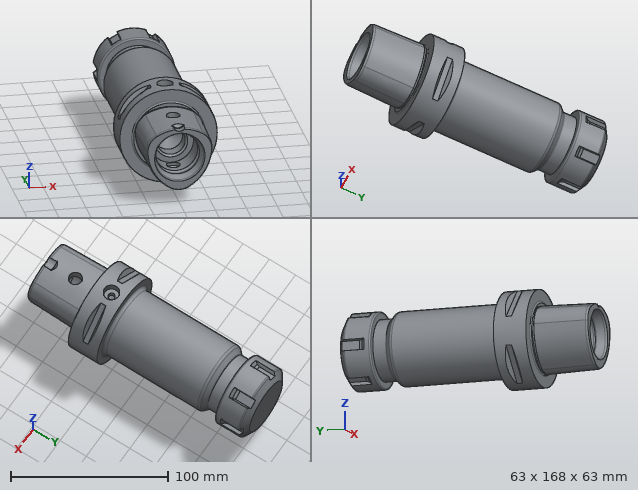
import cadquery as cq
import math


TOTAL_LENGTH = 168

FLANGE_RADIUS = 31.5
FLANGE_LENGTH = 22.0
BARREL_RADIUS = 24.0
BARREL_ROOT_FILLET = 2.4
NECK_RADIUS = 20.0
NECK_LENGTH = 8.9
NECK_ROOT_FILLET = 0.5
SHOULDER_EDGE_FILLET = 2.7

NUT_RADIUS = 25.0
NUT_LENGTH = 22.3
NUT_FACE_RADIUS = 18.8
NUT_BEVEL_LENGTH = 4.0
NUT_BEVEL_FILLET = 1.2
NUT_BACK_FILLET = 1.0
NECK_ENGAGEMENT = 15.1
SLOT_COUNT = 6
SLOT_FLOOR_DISTANCE = 22.3
SLOT_FLOOR_WIDTH = 6.0
SLOT_MOUTH_WIDTH = 7.4
SLOT_END_GAP = 4.2
SLOT_END_SLOPE_LENGTH = 2.0
SLOT_RAMP_LENGTH = 2.0
SLOT_RAMP_RISE = 0.7

SHANK_LENGTH = 38.0
LOBE_CENTRE_DISTANCE = 10.5
LOBE_RADIUS = 13.0
LOBE_ANGLES = (-90, 30, 150)
LOBE_HALF_ANGLE = 30
SHANK_TAPER = math.degrees(math.atan(1 / 40))
UNDERCUT_LENGTH = 1.8
UNDERCUT_DEPTH = 0.2
TIP_BEVEL_LENGTH = 1.5
TIP_BEVEL_DEPTH = 0.5
COLLAR_BASE_RADIUS = 24.2
COLLAR_TOP_RADIUS = 22.7
COLLAR_HEIGHT = 0.7

MOUTH_RADIUS = 16.3
ENTRY_RADIUS = 15.8
ENTRY_CHAMFER_LENGTH = 1.5
BORE_RADIUS = 14.1
ENTRY_CONE_LENGTH = 5.4
GROOVE_RADIUS = 15.6
GROOVE_START_GAP = 0.7
GROOVE_LENGTH = 5.7
GROOVE_FLANK_LENGTH = 2.0
GROOVE_FLANK_RISE = 1.0
GROOVE_ROUND_LENGTH = 2.0
BORE_DEPTH = 27.7
PILOT_MOUTH_RADIUS = 10.5
PILOT_RADIUS = 9.0
PILOT_DEPTH = 10.0
DRILL_HALF_ANGLE = math.radians(59)

RIM_FEATURE_Y = 12.1
PORT_RADIUS = 5.2
PORT_FLOOR_Z = 25.5
PORT_PILOT_RADIUS = 2.4
PORT_PILOT_DEPTH = 3.4
CROSS_HOLE_Y = -15.5
CROSS_HOLE_RADIUS = 4.4
CROSS_HOLE_FLOOR_Z = -16.0
NOTCH_AXIS_Z = 22.2
NOTCH_RADIUS = 4.4
NOTCH_LENGTH = 6.0
NOTCH_END_RADIUS = 4.9
NOTCH_CONE_LENGTH = 3.7
GRIP_COUNT = 4
GRIP_FLOOR_DISTANCE = 27.9
GRIP_FLOOR_WIDTH = 3.7
GRIP_FLANK_ANGLE = math.radians(30)

NECK_SHOULDER_RISE = BARREL_RADIUS - NECK_RADIUS
NUT_FACE_Y = TOTAL_LENGTH - SHANK_LENGTH
NUT_BACK_Y = NUT_FACE_Y - NUT_LENGTH
NECK_ROOT_Y = NUT_BACK_Y - NECK_LENGTH
NECK_END_Y = NUT_BACK_Y + NECK_ENGAGEMENT
SHOULDER_Y = NECK_ROOT_Y - NECK_SHOULDER_RISE
SHANK_TIP_Y = -SHANK_LENGTH


def turned(profile):
    """Close a half profile of (radius, y) and revolve it about the tool axis."""
    return profile.close().revolve(360, (0, 0, 0), (0, 1, 0))


def ring_edge(radius, y):
    """Selector for the full-circle edge of the given radius at height y on the tool axis."""
    gap = 0.02
    reach = radius + gap
    return cq.selectors.BoxSelector((-reach, y - gap, -reach), (reach, y + gap, reach), boundingbox=True)


def drill(radius, depth):
    """Drill entering at the origin along -Z: full radius down to the depth, then its conical point."""
    tip = depth + radius / math.tan(DRILL_HALF_ANGLE)
    profile = cq.Workplane("XZ").polyline([(0, 0), (radius, 0), (radius, -depth), (0, -tip)])
    return profile.close().revolve(360, (0, 0, 0), (0, 1, 0))


def make_turned_body():
    body = turned(
        cq.Workplane("XY")
        .moveTo(0, 0)
        .lineTo(FLANGE_RADIUS, 0)
        .lineTo(FLANGE_RADIUS, FLANGE_LENGTH)
        .lineTo(BARREL_RADIUS, FLANGE_LENGTH)
        .lineTo(BARREL_RADIUS, SHOULDER_Y)
        .lineTo(NECK_RADIUS, NECK_ROOT_Y)
        .lineTo(NECK_RADIUS, NECK_END_Y)
        .lineTo(0, NECK_END_Y)
    )
    body = body.edges(ring_edge(BARREL_RADIUS, FLANGE_LENGTH)).fillet(BARREL_ROOT_FILLET)
    body = body.edges(ring_edge(BARREL_RADIUS, SHOULDER_Y)).fillet(SHOULDER_EDGE_FILLET)
    return body.edges(ring_edge(NECK_RADIUS, NECK_ROOT_Y)).fillet(NECK_ROOT_FILLET)


def make_collar():
    """Low round step between flange and shank, with a hollow flank."""
    middle = ((COLLAR_BASE_RADIUS + 2 * COLLAR_TOP_RADIUS) / 3, -COLLAR_HEIGHT / 3)
    return turned(
        cq.Workplane("XY")
        .moveTo(0, 0)
        .lineTo(COLLAR_BASE_RADIUS, 0)
        .threePointArc(middle, (COLLAR_TOP_RADIUS, -COLLAR_HEIGHT))
        .lineTo(0, -COLLAR_HEIGHT)
    )


def polygon_prism(y, inset, length, taper):
    """Three-lobed prism of tangent arcs, from y towards -Y, one lobe pointing to -Z."""
    lobe_radius = LOBE_RADIUS - inset
    flat_radius = LOBE_RADIUS + math.sqrt(3) * LOBE_CENTRE_DISTANCE - inset

    def on_arc(centre_angle, radius, angle):
        """Point at an angle on the arc centred on the lobe centre that lies at centre_angle."""
        centre = math.radians(centre_angle)
        direction = math.radians(angle)
        x = LOBE_CENTRE_DISTANCE * math.cos(centre) + radius * math.cos(direction)
        z = LOBE_CENTRE_DISTANCE * math.sin(centre) + radius * math.sin(direction)
        return (x, z)

    start = on_arc(LOBE_ANGLES[0], lobe_radius, LOBE_ANGLES[0] - LOBE_HALF_ANGLE)
    outline = cq.Workplane("XZ", origin=(0, y, 0)).moveTo(*start)
    for lobe in LOBE_ANGLES:
        lobe_end = on_arc(lobe, lobe_radius, lobe + LOBE_HALF_ANGLE)
        outline = outline.threePointArc(on_arc(lobe, lobe_radius, lobe), lobe_end)
        flat = lobe + 2 * LOBE_HALF_ANGLE
        far_lobe = flat + 180
        flat_end = on_arc(far_lobe, flat_radius, flat + LOBE_HALF_ANGLE)
        outline = outline.threePointArc(on_arc(far_lobe, flat_radius, flat), flat_end)
    return outline.close().extrude(length, taper=taper)


def make_shank():
    cone_length = SHANK_LENGTH - UNDERCUT_LENGTH - TIP_BEVEL_LENGTH
    cone_shrink = cone_length * math.tan(math.radians(SHANK_TAPER))
    bevel_taper = math.degrees(math.atan(TIP_BEVEL_DEPTH / TIP_BEVEL_LENGTH))
    disc = cq.Workplane("XZ").circle(COLLAR_TOP_RADIUS).extrude(UNDERCUT_LENGTH)
    undercut = polygon_prism(0, UNDERCUT_DEPTH, UNDERCUT_LENGTH, 0).intersect(disc)
    cone = polygon_prism(-UNDERCUT_LENGTH, 0, cone_length, SHANK_TAPER)
    bevel = polygon_prism(SHANK_TIP_Y + TIP_BEVEL_LENGTH, cone_shrink, TIP_BEVEL_LENGTH, bevel_taper)
    return undercut.union(cone).union(bevel)


def make_bore():
    """Stepped bore in the shank: chamfer, entry cone, clamping groove, bore and a drilled pilot."""
    entry_y = SHANK_TIP_Y + ENTRY_CHAMFER_LENGTH
    cone_end_y = entry_y + ENTRY_CONE_LENGTH
    groove_y = cone_end_y + GROOVE_START_GAP
    groove_end_y = groove_y + GROOVE_LENGTH
    flank_y = groove_end_y - GROOVE_FLANK_LENGTH
    flank_top = (BORE_RADIUS + GROOVE_FLANK_RISE, flank_y)
    floor_y = SHANK_TIP_Y + BORE_DEPTH
    pilot_chamfer = PILOT_MOUTH_RADIUS - PILOT_RADIUS
    pilot_end_y = floor_y + PILOT_DEPTH
    return turned(
        cq.Workplane("XY")
        .moveTo(0, SHANK_TIP_Y)
        .lineTo(MOUTH_RADIUS, SHANK_TIP_Y)
        .lineTo(ENTRY_RADIUS, entry_y)
        .lineTo(BORE_RADIUS, cone_end_y)
        .lineTo(BORE_RADIUS, groove_y)
        .lineTo(GROOVE_RADIUS, groove_y)
        .lineTo(GROOVE_RADIUS, flank_y - GROOVE_ROUND_LENGTH)
        .tangentArcPoint(flank_top, relative=False)
        .lineTo(BORE_RADIUS, groove_end_y)
        .lineTo(BORE_RADIUS, floor_y)
        .lineTo(PILOT_MOUTH_RADIUS, floor_y)
        .lineTo(PILOT_RADIUS, floor_y + pilot_chamfer)
        .lineTo(PILOT_RADIUS, pilot_end_y)
        .lineTo(0, pilot_end_y + PILOT_RADIUS / math.tan(DRILL_HALF_ANGLE))
    )


def make_port():
    """Counterbored hole in the top of the flange."""
    depth = FLANGE_RADIUS - PORT_FLOOR_Z
    floor = cq.Workplane("XY", origin=(0, RIM_FEATURE_Y, PORT_FLOOR_Z))
    counterbore = floor.circle(PORT_RADIUS).extrude(depth)
    pilot = drill(PORT_PILOT_RADIUS, PORT_PILOT_DEPTH).translate((0, RIM_FEATURE_Y, PORT_FLOOR_Z))
    return counterbore.union(pilot)


def make_cross_hole():
    """Hole drilled from the top flat across the bore and a little way into the far wall."""
    top_z = FLANGE_RADIUS
    return drill(CROSS_HOLE_RADIUS, top_z - CROSS_HOLE_FLOOR_Z).translate((0, CROSS_HOLE_Y, top_z))


def make_notch():
    """Round-bottomed groove at the shank tip, ending in a wider cone."""
    outline = [
        (0, 0),
        (NOTCH_RADIUS, 0),
        (NOTCH_RADIUS, NOTCH_LENGTH),
        (NOTCH_END_RADIUS, NOTCH_LENGTH),
        (0, NOTCH_LENGTH + NOTCH_CONE_LENGTH),
    ]
    return turned(cq.Workplane("XY").polyline(outline)).translate((0, SHANK_TIP_Y, NOTCH_AXIS_Z))


def make_grip_groove(angle):
    """V-flanked straight groove across the flange rim, facing the given angle from +X towards +Z."""
    depth = FLANGE_RADIUS - GRIP_FLOOR_DISTANCE
    half_floor = GRIP_FLOOR_WIDTH / 2
    half_mouth = half_floor + depth * math.tan(GRIP_FLANK_ANGLE)
    outline = [
        (GRIP_FLOOR_DISTANCE, RIM_FEATURE_Y - half_floor),
        (FLANGE_RADIUS, RIM_FEATURE_Y - half_mouth),
        (FLANGE_RADIUS, RIM_FEATURE_Y + half_mouth),
        (GRIP_FLOOR_DISTANCE, RIM_FEATURE_Y + half_floor),
    ]
    groove = cq.Workplane("XY").polyline(outline).close().extrude(FLANGE_RADIUS, both=True)
    return groove.rotate((0, 0, 0), (0, 1, 0), -angle)


def make_holder():
    holder = make_turned_body().union(make_collar()).union(make_shank())
    holder = holder.cut(make_bore()).cut(make_port()).cut(make_cross_hole()).cut(make_notch())
    grip_step = 360 / GRIP_COUNT
    for index in range(GRIP_COUNT):
        holder = holder.cut(make_grip_groove(grip_step * (index + 0.5)))
    return holder


def make_nut_blank():
    bevel_y = NUT_FACE_Y - NUT_BEVEL_LENGTH
    blank = turned(
        cq.Workplane("XY")
        .moveTo(0, NUT_BACK_Y)
        .lineTo(NUT_RADIUS, NUT_BACK_Y)
        .lineTo(NUT_RADIUS, bevel_y)
        .lineTo(NUT_FACE_RADIUS, NUT_FACE_Y)
        .lineTo(0, NUT_FACE_Y)
    )
    blank = blank.edges(ring_edge(NUT_RADIUS, bevel_y)).fillet(NUT_BEVEL_FILLET)
    return blank.edges(ring_edge(NUT_RADIUS, NUT_BACK_Y)).fillet(NUT_BACK_FILLET)


def make_wrench_slot(angle):
    """Slot with flared sides, open at the nut face, facing the given angle from +X towards +Z."""
    mouth_y = NUT_BACK_Y + SLOT_END_GAP
    slope_y = mouth_y + SLOT_END_SLOPE_LENGTH
    floor_y = slope_y + SLOT_RAMP_LENGTH
    lengthwise = (
        cq.Workplane("XY")
        .moveTo(NUT_RADIUS, mouth_y)
        .lineTo(SLOT_FLOOR_DISTANCE + SLOT_RAMP_RISE, slope_y)
        .lineTo(SLOT_FLOOR_DISTANCE, floor_y)
        .lineTo(SLOT_FLOOR_DISTANCE, NUT_FACE_Y)
        .lineTo(NUT_RADIUS, NUT_FACE_Y)
        .close()
        .extrude(SLOT_MOUTH_WIDTH, both=True)
    )
    half_floor = SLOT_FLOOR_WIDTH / 2
    half_mouth = SLOT_MOUTH_WIDTH / 2
    section = [
        (SLOT_FLOOR_DISTANCE, -half_floor),
        (NUT_RADIUS, -half_mouth),
        (NUT_RADIUS, half_mouth),
        (SLOT_FLOOR_DISTANCE, half_floor),
    ]
    across = cq.Workplane("XZ", origin=(0, NUT_FACE_Y, 0)).polyline(section).close().extrude(NUT_LENGTH)
    return lengthwise.intersect(across).rotate((0, 0, 0), (0, 1, 0), -angle)


def make_nut():
    recess = cq.Workplane("XZ", origin=(0, NECK_END_Y, 0)).circle(NECK_RADIUS).extrude(NECK_ENGAGEMENT)
    nut = make_nut_blank().cut(recess)
    for index in range(SLOT_COUNT):
        nut = nut.cut(make_wrench_slot(index * 360 / SLOT_COUNT))
    return nut


holder = make_holder()
nut = make_nut()
result = cq.Compound.makeCompound([holder.solids().val(), nut.solids().val()])